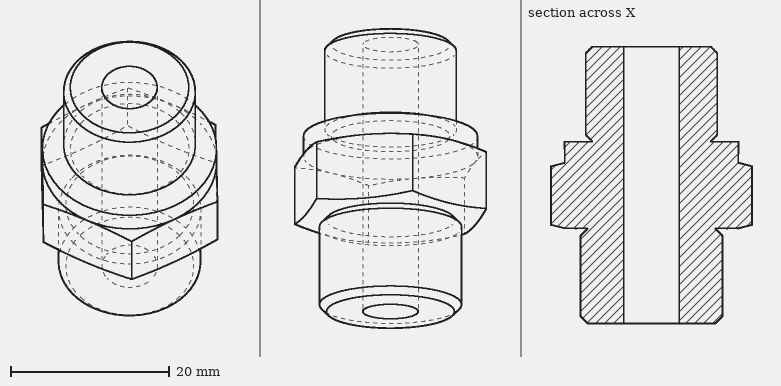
import cadquery as cq
import math

total_height = 35.0
across_flats = 22.0
stud_length = 12.0
lower_diameter = 18.0
lower_chamfer = 0.9
upper_diameter = 16.65
upper_chamfer = 0.85
collar_height = 2.65
bore_diameter = 7.0
hex_chamfer_angle = 15.0

across_corners = across_flats / math.cos(math.radians(30))
hex_height = total_height - 2 * stud_length - collar_height
hex_bottom = stud_length
hex_top = hex_bottom + hex_height
collar_top = hex_top + collar_height


def cylinder(diameter, height, bottom):
    return cq.Workplane("XY").workplane(offset=bottom).circle(diameter / 2).extrude(height)


def stud(diameter, chamfer, bottom):
    """Round stud with a 45 degree chamfer at both ends."""
    return cylinder(diameter, stud_length, bottom).edges("%CIRCLE").chamfer(chamfer)


def hexagon():
    """Hexagon with corners on the Y axis, both ends coned off down to the flats."""
    prism = (
        cq.Workplane("XY")
        .workplane(offset=hex_bottom)
        .polygon(6, across_corners)
        .extrude(hex_height)
        .rotate((0, 0, 0), (0, 0, 1), 30)
    )
    flat_radius = across_flats / 2
    corner_radius = across_corners / 2
    corner_drop = (corner_radius - flat_radius) * math.tan(math.radians(hex_chamfer_angle))
    double_cone = (
        cq.Workplane("XZ")
        .moveTo(0, hex_bottom)
        .lineTo(flat_radius, hex_bottom)
        .lineTo(corner_radius, hex_bottom + corner_drop)
        .lineTo(corner_radius, hex_top - corner_drop)
        .lineTo(flat_radius, hex_top)
        .lineTo(0, hex_top)
        .close()
        .revolve(360, (0, 0, 0), (0, 1, 0))
    )
    return prism.intersect(double_cone)


collar = cylinder(across_flats, collar_height, hex_top)
lower_stud = stud(lower_diameter, lower_chamfer, 0)
upper_stud = stud(upper_diameter, upper_chamfer, collar_top)
bore = cylinder(bore_diameter, total_height, 0)

result = hexagon().union(collar).union(lower_stud).union(upper_stud).cut(bore)